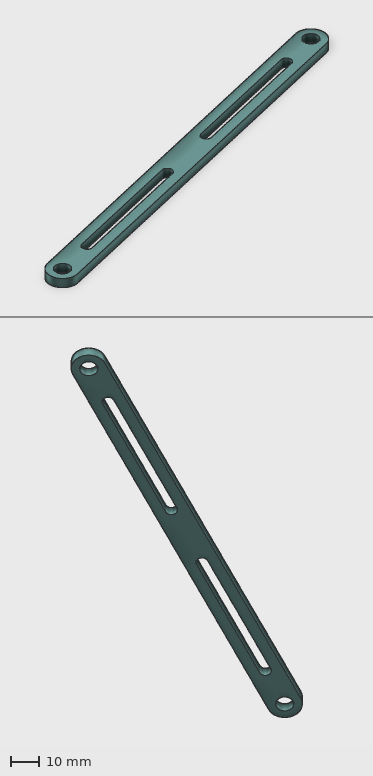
import cadquery as cq
import math

size_x = 108.1
size_y = 153.3
thickness = 4.0

end_radius = 6.3
pin_hole_diameter = 6.5
slot_width = 4.3
slot_length = 59.2
slot_center_offset = 40.8

pin_span_x = size_x - 2 * end_radius
pin_span_y = size_y - 2 * end_radius
pin_spacing = math.hypot(pin_span_x, pin_span_y)
bar_angle = -math.degrees(math.atan2(pin_span_y, pin_span_x))


def make_bar():
    """Flat bar with full-round ends, lying along X."""
    bar_length = pin_spacing + 2 * end_radius
    return cq.Workplane("XY").slot2D(bar_length, 2 * end_radius).extrude(thickness)


def cut_pin_holes(bar):
    """One through hole at each end."""
    centers = [(-pin_spacing / 2, 0), (pin_spacing / 2, 0)]
    return bar.faces(">Z").workplane(origin=(0, 0, 0)).pushPoints(centers).hole(pin_hole_diameter)


def cut_slots(bar):
    """Two through slots in line, either side of the middle."""
    centers = [(-slot_center_offset, 0), (slot_center_offset, 0)]
    return (
        bar.faces(">Z").workplane(origin=(0, 0, 0))
        .pushPoints(centers)
        .slot2D(slot_length, slot_width)
        .cutThruAll()
    )


flat_bar = cut_slots(cut_pin_holes(make_bar()))

result = flat_bar.rotate((0, 0, 0), (0, 0, 1), bar_angle)